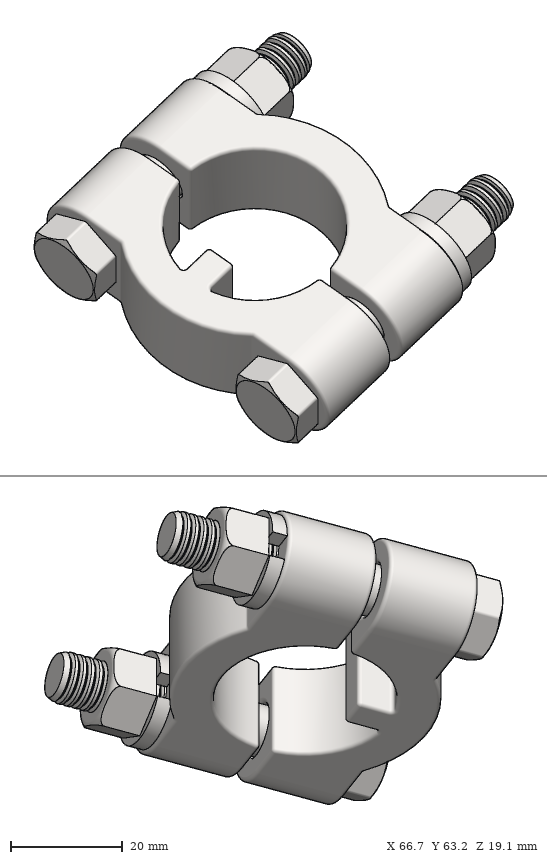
import cadquery as cq
import math

overall_length = 66.7
clamp_height = 19.1
end_radius = clamp_height / 2
bolt_x = overall_length / 2 - end_radius
split_gap = 2.6
split_y = split_gap / 2
flange_y = 18.7
arch_radius = 24.3
bore_radius = 16.4
edge_radius = 0.75
bolt_hole_diameter = 10.35
key_width = 6.0
key_tip_y = 9.15

bolt_diameter = 9.55
hex_flats = 14.3
hex_corners = hex_flats / math.cos(math.radians(30))
head_height = 6.0
head_face_radius = 6.95
head_bevel_angle = 30.0
head_edge_radius = 0.7
nut_height = 8.55
nut_corner_radius = 1.6
washer_diameter = 17.55
washer_thickness = 2.9
washer_gap_angle = 30.0
bolt_protrusion = 8.35
bolt_end_y = flange_y + washer_thickness + nut_height + bolt_protrusion

thread_pitch = 1.6
thread_depth = 0.7
thread_flank_angle = 30.0
groove_count = 12
groove_root_width = 0.2
groove_mouth_width = groove_root_width + 2 * thread_depth * math.tan(math.radians(thread_flank_angle))
first_groove_offset = 1.5
bolt_end_taper = 0.7
bolt_end_taper_length = 1.5


def cylinder_y(radius, y_start, y_end, x=0.0):
    """Cylinder along +Y between two Y positions."""
    return cq.Workplane(cq.Solid.makeCylinder(
        radius, y_end - y_start, cq.Vector(x, y_start, 0), cq.Vector(0, 1, 0)))


def hex_prism_y(y_start, y_end):
    """Hexagonal prism along Y with two corners pointing up and down."""
    return (
        cq.Workplane("XZ", origin=(0, y_end, 0))
        .transformed(rotate=(0, 0, 90))
        .polygon(6, hex_corners)
        .extrude(y_end - y_start)
    )


def box_from_y(width, y_start, y_end):
    """Box of clamp height, centred on X and Z, between two Y positions."""
    return (
        cq.Workplane("XY", origin=(0, y_start, 0))
        .box(width, y_end - y_start, clamp_height, centered=(True, False, True))
    )


def round_end(x):
    """Flange end: the outer half of a cylinder along Y with both rims rounded."""
    end = cylinder_y(end_radius, split_y, flange_y, x)
    end = end.faces("<Y or >Y").edges().fillet(edge_radius)
    return end.cut(box_from_y(2 * bolt_x, 0, flange_y))


def bolt_hole(x):
    """Cutter for a bolt hole whose rim at the split face is rounded."""
    hole_radius = bolt_hole_diameter / 2
    mouth_radius = hole_radius + edge_radius
    rim_offset = edge_radius * (1 - math.cos(math.radians(45)))
    return (
        cq.Workplane("XY")
        .moveTo(0, split_y)
        .lineTo(mouth_radius, split_y)
        .threePointArc((hole_radius + rim_offset, split_y + rim_offset),
                       (hole_radius, split_y + edge_radius))
        .lineTo(hole_radius, flange_y)
        .lineTo(0, flange_y)
        .close()
        .revolve(360, (0, 0, 0), (0, 1, 0))
        .translate((x, 0, 0))
    )


def make_clamp_half(with_key):
    """Clamp half on the +Y side of the split plane."""
    arch = (
        cq.Workplane("XY")
        .circle(arch_radius)
        .extrude(end_radius, both=True)
        .intersect(box_from_y(overall_length, split_y, arch_radius))
    )
    bore = cq.Workplane("XY").circle(bore_radius).extrude(end_radius, both=True)
    half = box_from_y(overall_length, split_y, flange_y).union(arch).cut(bore)

    if with_key:
        key_root_y = (bore_radius + arch_radius) / 2
        half = half.union(box_from_y(key_width, key_tip_y, key_root_y))

    half = half.edges("|Z").fillet(edge_radius)
    half = half.faces("<Z or >Z").edges().fillet(edge_radius)
    half = half.intersect(box_from_y(2 * bolt_x, 0, arch_radius))
    for x in (-bolt_x, bolt_x):
        half = half.union(round_end(x))
        half = half.cut(bolt_hole(x))
    return half


def make_plain_half():
    """Half without a key, with seats for the washers cut into the foot of its arch."""
    half = make_clamp_half(with_key=False)
    for x in (-bolt_x, bolt_x):
        half = half.cut(cylinder_y(washer_diameter / 2, flange_y, flange_y + washer_thickness, x))
    return half


def make_key_half():
    """Half with the key, on the -Y side of the split plane."""
    return make_clamp_half(with_key=True).mirror("XZ")


def thread_groove(y):
    """Ring with a trapezoid section, centred on a Y position, that cuts one thread groove."""
    outer = bolt_diameter / 2
    root = outer - thread_depth
    return (
        cq.Workplane("XY")
        .polyline([
            (root, y - groove_root_width / 2),
            (outer, y - groove_mouth_width / 2),
            (outer, y + groove_mouth_width / 2),
            (root, y + groove_root_width / 2),
        ])
        .close()
        .revolve(360, (0, 0, 0), (0, 1, 0))
    )


def make_bolt(x):
    """Hex bolt with its head on the keyed half and its thread beyond the plain half."""
    head_end_y = -flange_y - head_height
    head = hex_prism_y(head_end_y, -flange_y).edges("|Y").fillet(head_edge_radius)
    bevel_width = hex_corners / 2 - head_face_radius
    bevel_length = bevel_width * math.tan(math.radians(head_bevel_angle))
    bevel_envelope = (
        cylinder_y(hex_corners / 2, head_end_y, -flange_y)
        .faces("<Y").edges()
        .chamfer(bevel_length, bevel_width)
    )
    head = head.intersect(bevel_envelope)

    shank = (
        cylinder_y(bolt_diameter / 2, -flange_y, bolt_end_y)
        .faces(">Y").edges()
        .chamfer(bolt_end_taper_length, bolt_end_taper)
    )
    for index in range(groove_count):
        groove_y = bolt_end_y - first_groove_offset - index * thread_pitch
        shank = shank.cut(thread_groove(groove_y))
    return head.union(shank).translate((x, 0, 0))


def make_washer(x):
    """Split lock washer, its gap reaching from the -X direction towards -Z."""
    inner = bolt_hole_diameter / 2
    outer = washer_diameter / 2
    ring = (
        cq.Workplane("XY")
        .moveTo(-outer, flange_y)
        .rect(outer - inner, washer_thickness, centered=False)
        .revolve(360 - washer_gap_angle, (0, 0, 0), (0, 1, 0))
    )
    return ring.translate((x, 0, 0))


def make_nut(x):
    """Hex nut with its outer corners rounded off, bored to the bolt diameter."""
    seat_y = flange_y + washer_thickness
    end_y = seat_y + nut_height
    envelope = cylinder_y(hex_corners / 2, seat_y, end_y).faces(">Y").edges().fillet(nut_corner_radius)
    nut = hex_prism_y(seat_y, end_y).intersect(envelope)
    return nut.cut(cylinder_y(bolt_diameter / 2, seat_y, end_y)).translate((x, 0, 0))


plain_half = make_plain_half()
key_half = make_key_half()

bolts = []
washers = []
nuts = []
for bolt_position in (-bolt_x, bolt_x):
    bolts.append(make_bolt(bolt_position))
    washers.append(make_washer(bolt_position))
    nuts.append(make_nut(bolt_position))

bodies = [plain_half, key_half, *bolts, *washers, *nuts]
result = cq.Compound.makeCompound([body.solids().val() for body in bodies])